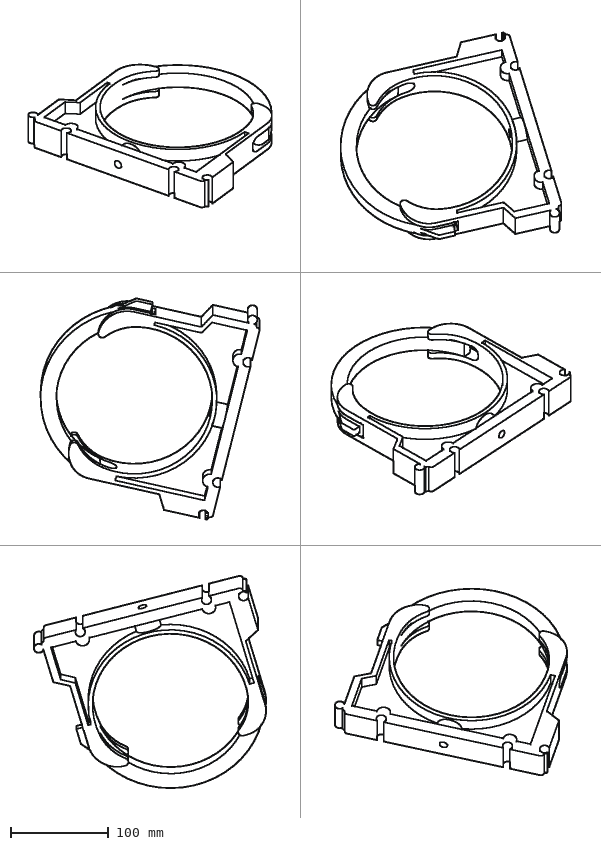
import cadquery as cq
import math


thickness = 31.5
bore_radius = 79.8
strap_outer_radius = 96.0
base_y = -107.2

frame_half_width = 93.5
foot_half_width = 108.8
shoulder_low_y = -57.0
shoulder_high_y = -48.3
arm_top_y = 52.8
left_shoulder_radius = 30.4
right_shoulder_radius = 27.2
arm_tip_radius = 4.3
arm_tip_x = 58.5
hook_start_angle = 10.0

corner_flat_x = 102.7
corner_edge_x = 105.9
corner_edge_y = -103.8
corner_side_y = -102.0
corner_bulge = 0.7

web_thickness = 4.0
pocket_arc_radius = 84.3
pocket_left_x = -87.3
pocket_foot_left_x = -100.6
pocket_right_x = 89.0
pocket_top_y = -1.1
pocket_floor_y = -95.0
pocket_shoulder_low_y = -57.8
pocket_shoulder_high_y = -50.0

boss_diameter = 26.5
hole_diameter = 8.5

clip_radius = 5.0
pin_x = -112.9
clip_pitch = 217.5
clip_y = -97.5
notch_x = 67.0
notch_y = -103.5
notch_boss_radius = 7.0

strap_width = 17.0
slot_end_y = -0.2
left_gap_floor_x = -86.1
strap_left_end_y = 2.0
strap_left_x = -93.6
strap_right_end_y = 17.7
strap_right_x = 90.0
strap_end_radius = 5.2
strap_seat_top_y = 40.1

tab_width = 8.2
tab_x = -101.5
tab_top_x = -88.5
tab_top_y = 39.2
tab_knee_y = 22.0
tab_bottom_y = 4.8
tab_knee_radius = 2.3
tab_corner_radius = 1.1


def slab(x_min, x_max, y_min, y_max, height):
    """Box between the given limits, centred on Z = 0."""
    center = ((x_min + x_max) / 2, (y_min + y_max) / 2, 0)
    return cq.Workplane("XY").box(x_max - x_min, y_max - y_min, height).translate(center)


def post(x, y, radius, height=thickness):
    """Round post along Z, centred on Z = 0."""
    return cq.Workplane("XY").center(x, y).circle(radius).extrude(height / 2, both=True)


def bore_point(angle):
    """Point on the bore wall at the given angle in degrees from +X."""
    turn = math.radians(angle)
    return (bore_radius * math.cos(turn), bore_radius * math.sin(turn))


def frame_half():
    """Right half of the foot, side wall and hooked arm around the bore."""
    tip_center_x = arm_tip_x + arm_tip_radius
    tip_center_y = arm_top_y - arm_tip_radius
    tip_reach = arm_tip_radius * math.sqrt(0.5)
    bulge_x = (corner_flat_x + corner_edge_x) / 2 + corner_bulge
    bulge_y = (base_y + corner_edge_y) / 2 - corner_bulge
    return (
        cq.Workplane("XY")
        .moveTo(0, -bore_radius)
        .threePointArc(bore_point(-45), bore_point(hook_start_angle))
        .tangentArcPoint((tip_center_x - tip_reach, tip_center_y - tip_reach), relative=False)
        .threePointArc((arm_tip_x, tip_center_y), (tip_center_x, arm_top_y))
        .lineTo(frame_half_width, arm_top_y)
        .lineTo(frame_half_width, shoulder_high_y)
        .lineTo(foot_half_width, shoulder_low_y)
        .lineTo(foot_half_width, corner_side_y)
        .lineTo(corner_edge_x, corner_edge_y)
        .threePointArc((bulge_x, bulge_y), (corner_flat_x, base_y))
        .lineTo(0, base_y)
        .close()
        .extrude(thickness / 2, both=True)
    )


def round_shoulder(half, radius):
    """Round the outer top corner of the arm on the right half of the frame."""
    corner = cq.selectors.NearestToPointSelector((frame_half_width, arm_top_y, 0))
    return half.edges("|Z").edges(corner).fillet(radius)


def frame_blank():
    """Both halves of the frame, differing only in their shoulder radii."""
    right = round_shoulder(frame_half(), right_shoulder_radius)
    left = round_shoulder(frame_half(), left_shoulder_radius).mirror("YZ")
    return right.union(left)


def pockets():
    """Recesses in both faces, leaving the web, the screw boss and the notch bosses."""
    arc_end_x = math.sqrt(pocket_arc_radius**2 - pocket_top_y**2)
    recess = (
        cq.Workplane("XY")
        .moveTo(pocket_foot_left_x, pocket_floor_y)
        .lineTo(pocket_right_x, pocket_floor_y)
        .lineTo(pocket_right_x, pocket_top_y)
        .lineTo(arc_end_x, pocket_top_y)
        .threePointArc((0, -pocket_arc_radius), (-arc_end_x, pocket_top_y))
        .lineTo(pocket_left_x, pocket_top_y)
        .lineTo(pocket_left_x, pocket_shoulder_high_y)
        .lineTo(pocket_foot_left_x, pocket_shoulder_low_y)
        .close()
        .extrude(thickness / 2, both=True)
    )
    web = slab(-foot_half_width, foot_half_width, base_y, 0, web_thickness)
    screw_boss = cq.Workplane("XZ", origin=(0, base_y, 0)).circle(boss_diameter / 2).extrude(base_y)
    recess = recess.cut(web).cut(screw_boss)
    for x in (-notch_x, notch_x):
        recess = recess.cut(post(x, pocket_floor_y, notch_boss_radius))
    return recess


def arm_slots():
    """Slots through both arms: the left one squared with a blind gap, the right one half round."""
    left = slab(-foot_half_width, 0, strap_left_end_y, arm_top_y, strap_width)
    left_gap = slab(-foot_half_width, left_gap_floor_x, slot_end_y, strap_left_end_y, strap_width)
    round_center_y = slot_end_y + strap_width / 2
    right = slab(0, foot_half_width, round_center_y, arm_top_y, strap_width)
    right_end = (
        cq.Workplane("YZ")
        .center(round_center_y, 0)
        .circle(strap_width / 2)
        .extrude(foot_half_width)
    )
    return left.union(left_gap).union(right).union(right_end)


def strap_band():
    """Band over the pipe with both ends seated in the arm slots."""
    pipe = post(0, 0, bore_radius, strap_width)
    disc = post(0, 0, strap_outer_radius, strap_width)
    crown = slab(strap_left_x, strap_right_x, strap_seat_top_y, strap_outer_radius, strap_width)
    right_end = slab(0, strap_right_x, strap_right_end_y, strap_seat_top_y, strap_width)
    right_end = right_end.edges("|Z and >X and <Y").fillet(strap_end_radius)
    left_end = slab(strap_left_x, -arm_tip_x, strap_left_end_y, arm_top_y, strap_width)
    left_end = left_end.edges("|Z and <X and >Y").fillet(left_shoulder_radius)
    left_end = left_end.edges("|Z and <X and <Y").fillet(strap_end_radius)
    return disc.intersect(crown.union(right_end)).union(left_end).cut(pipe)


def release_tab():
    """Narrow wedge standing off the left end of the strap."""
    root_x = strap_left_x + strap_end_radius
    tab = (
        cq.Workplane("XY")
        .moveTo(tab_top_x, tab_top_y)
        .lineTo(tab_x, tab_knee_y)
        .lineTo(tab_x, tab_bottom_y)
        .lineTo(root_x, tab_bottom_y)
        .lineTo(root_x, tab_knee_y)
        .close()
        .extrude(tab_width / 2, both=True)
    )
    knee = cq.selectors.NearestToPointSelector((tab_x, tab_knee_y, 0))
    tab = tab.edges("|Z").edges(knee).fillet(tab_knee_radius)
    return tab.edges("|Z and <X and <Y").fillet(tab_corner_radius)


def base_notches():
    """Round notches breaking out through the bottom of the foot."""
    return post(-notch_x, notch_y, clip_radius).union(post(notch_x, notch_y, clip_radius))


screw_hole = cq.Workplane("XZ", origin=(0, base_y, 0)).circle(hole_diameter / 2).extrude(base_y)

frame = frame_blank().cut(pockets()).cut(arm_slots()).cut(base_notches()).cut(screw_hole)
frame = frame.cut(post(pin_x + clip_pitch, clip_y, clip_radius))
frame = frame.union(post(pin_x, clip_y, clip_radius))

result = frame.union(strap_band()).union(release_tab())